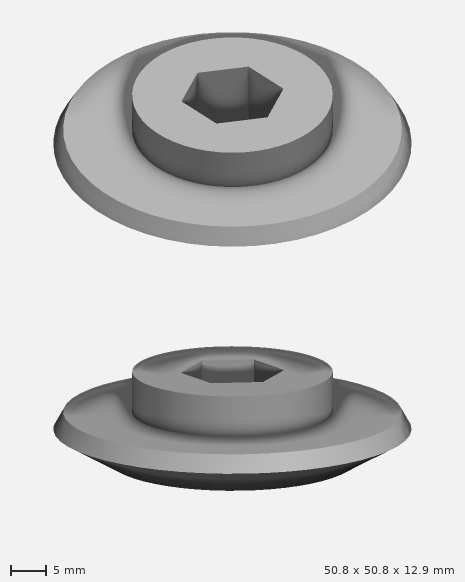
import cadquery as cq
import math

rim_diameter = 50.8
base_diameter = 35.05
flange_top_diameter = 48.0
boss_diameter = 28.45
hex_across_flats = 12.8

rim_height = 4.5
flange_height = 7.0
total_height = 12.95


def turned_body():
    """Flange with a conical underside and bevelled rim, topped by a round boss."""
    half_profile = [
        (0, 0),
        (base_diameter / 2, 0),
        (rim_diameter / 2, rim_height),
        (flange_top_diameter / 2, flange_height),
        (boss_diameter / 2, flange_height),
        (boss_diameter / 2, total_height),
        (0, total_height),
    ]
    return cq.Workplane("XZ").polyline(half_profile).close().revolve(360, (0, 0), (0, 1))


def hex_bore():
    """Hexagonal through bore with two corners on the X axis."""
    across_corners = hex_across_flats / math.cos(math.pi / 6)
    return cq.Workplane("XY").polygon(6, across_corners).extrude(total_height)


result = turned_body().cut(hex_bore())